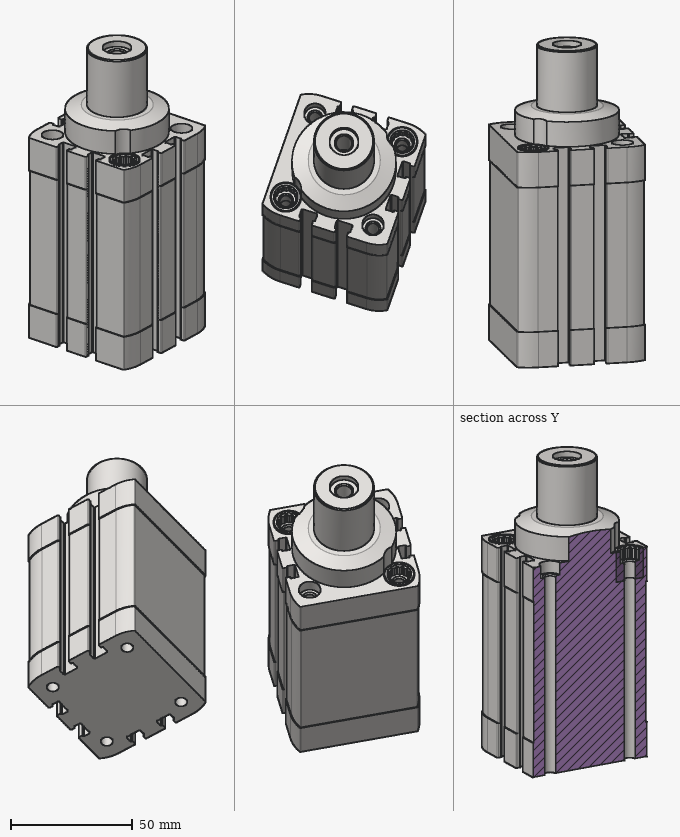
import cadquery as cq
import math

TOTAL_HEIGHT = 130.0
BARREL_HEIGHT = 91.5
END_BAND_HEIGHT = 15.1

BARREL_WIDTH = 54.5
WAIST_INSET = 0.4
CORNER_ARC_START = 18.8
CORNER_FLAT_END = 25.0
EDGE_FILLET = 0.4

TOLERANCE = 0.01

SLOT_OFFSET = 7.7
SLOT_MOUTH_WIDTH = 5.2
SLOT_WIDTH = 6.9
SLOT_DEPTH = 5.5
SLOT_LIP_DEPTH = 2.0
SLOT_CHAMFER = 0.4
SLOTTED_FACE_ANGLES = (-90, 0, 180)

COLLAR_DIAMETER = 43.0
COLLAR_FLAT_DIAMETER = 29.8
COLLAR_TOP = 104.0
COLLAR_CONE_HEIGHT = 2.0

ROD_DIAMETER = 25.0
ROD_CHAMFER = 0.5
ROD_COUNTERBORE_DIAMETER = 12.0
ROD_COUNTERBORE_DEPTH = 2.5
ROD_COUNTERSINK_DIAMETER = 7.8
ROD_HOLE_DIAMETER = 6.6
ROD_HOLE_DEPTH = 19.5
DRILL_POINT_ANGLE = 118.0

CORNER_SPACING = 38.0
BORE_DIAMETER = 5.0
BORE_COUNTERSINK_DIAMETER = 6.2
COUNTERBORE_DIAMETER = 9.0
COUNTERBORE_DEPTH = 5.2

SCREW_DIAMETER = 12.7
SCREW_CHAMFER = 0.4
SCREW_LENGTH = 13.0
SOCKET_FLATS = 8.0
SOCKET_COUNTERSINK_DIAMETER = 10.0

HALF_SPACING = CORNER_SPACING / 2
PLAIN_CORNERS = ((-HALF_SPACING, -HALF_SPACING), (HALF_SPACING, HALF_SPACING))
SCREW_CORNERS = ((-HALF_SPACING, HALF_SPACING), (HALF_SPACING, -HALF_SPACING))


def frustum(bottom_diameter, top_diameter, bottom, top):
    """Cone frustum about the Z axis between two heights; a diameter of 0 gives a point."""
    return cq.Workplane("XY").add(
        cq.Solid.makeCone(bottom_diameter / 2, top_diameter / 2, top - bottom, cq.Vector(0, 0, bottom))
    )


def countersink(wide_diameter, narrow_diameter, top):
    """45 degree countersink whose wide end lies at the given height."""
    depth = (wide_diameter - narrow_diameter) / 2
    return frustum(narrow_diameter, wide_diameter, top - depth, top)


def cylinder(diameter, bottom, top):
    return cq.Workplane("XY").workplane(offset=bottom).circle(diameter / 2).extrude(top - bottom)


def barrel_blank(inset, bottom, height):
    """Barrel section with its sides moved inward by the inset, before the slots are cut.

    Each corner arc is tangent to an X side face and meets a Y side face at a small rounded edge.
    """
    half = BARREL_WIDTH / 2
    across = half - CORNER_FLAT_END
    along = half - CORNER_ARC_START
    arc_radius = (across**2 + along**2) / (2 * across)
    centre_x = half - arc_radius
    centre_y = CORNER_ARC_START

    side = half - inset
    radius = arc_radius - inset
    end_angle = math.asin((side - centre_y) / radius)
    end_x = centre_x + radius * math.cos(end_angle)
    mid_x = centre_x + radius * math.cos(end_angle / 2)
    mid_y = centre_y + radius * math.sin(end_angle / 2)
    return (
        cq.Workplane("XY")
        .workplane(offset=bottom)
        .moveTo(side, -centre_y)
        .lineTo(side, centre_y)
        .threePointArc((mid_x, mid_y), (end_x, side))
        .lineTo(-end_x, side)
        .threePointArc((-mid_x, mid_y), (-side, centre_y))
        .lineTo(-side, -centre_y)
        .threePointArc((-mid_x, -mid_y), (-end_x, -side))
        .lineTo(end_x, -side)
        .threePointArc((mid_x, -mid_y), (side, -centre_y))
        .close()
        .extrude(height)
        .faces(">Y or <Y")
        .edges("|Z")
        .fillet(EDGE_FILLET)
    )


def sensor_slot():
    """T-slot cutter opening toward +X, with its four inner corners chamfered."""
    face = BARREL_WIDTH / 2
    floor = face - SLOT_DEPTH
    lip = face - SLOT_LIP_DEPTH
    mouth = cq.Workplane("XY").box(
        SLOT_DEPTH, SLOT_MOUTH_WIDTH, BARREL_HEIGHT, centered=(False, True, False)
    )
    channel = (
        cq.Workplane("XY")
        .box(lip - floor, SLOT_WIDTH, BARREL_HEIGHT, centered=(False, True, False))
        .edges("|Z")
        .chamfer(SLOT_CHAMFER)
    )
    return mouth.union(channel).translate((floor, 0, 0))


def is_mouth_edge(edge, face):
    """Whether a vertical edge lies on a slot mouth; face is the side faces' distance from the axis."""
    place = edge.Center()
    along, across = sorted((abs(place.x), abs(place.y)))
    return abs(across - face) < TOLERANCE and along < SLOT_OFFSET + SLOT_WIDTH / 2


def barrel_section(inset, bottom, height):
    """Slotted barrel section with rounded edges along the slot mouths."""
    section = barrel_blank(inset, bottom, height)
    slot = sensor_slot()
    for angle in SLOTTED_FACE_ANGLES:
        for offset in (-SLOT_OFFSET, SLOT_OFFSET):
            section = section.cut(slot.translate((0, offset, 0)).rotate((0, 0, 0), (0, 0, 1), angle))
    face = BARREL_WIDTH / 2 - inset
    mouth_edges = section.edges("|Z").filter(lambda edge: is_mouth_edge(edge, face))
    return mouth_edges.fillet(EDGE_FILLET)


def barrel():
    """Barrel whose waist between the two end bands is slightly narrower."""
    waist_height = BARREL_HEIGHT - 2 * END_BAND_HEIGHT
    upper_band_bottom = BARREL_HEIGHT - END_BAND_HEIGHT
    lower_band = barrel_section(0, 0, END_BAND_HEIGHT)
    waist = barrel_section(WAIST_INSET, END_BAND_HEIGHT, waist_height)
    upper_band = barrel_section(0, upper_band_bottom, END_BAND_HEIGHT)
    return lower_band.union(waist).union(upper_band)


def collar():
    shoulder = COLLAR_TOP - COLLAR_CONE_HEIGHT
    lower = cylinder(COLLAR_DIAMETER, BARREL_HEIGHT, shoulder)
    return lower.union(frustum(COLLAR_DIAMETER, COLLAR_FLAT_DIAMETER, shoulder, COLLAR_TOP))


def rod_end():
    return cylinder(ROD_DIAMETER, COLLAR_TOP, TOTAL_HEIGHT).faces(">Z").edges().chamfer(ROD_CHAMFER)


def rod_hole():
    """Cutter for the counterbored, countersunk blind hole with a drill point."""
    ledge = TOTAL_HEIGHT - ROD_COUNTERBORE_DEPTH
    hole_bottom = ledge - ROD_HOLE_DEPTH
    point_depth = ROD_HOLE_DIAMETER / 2 / math.tan(math.radians(DRILL_POINT_ANGLE / 2))
    return (
        cylinder(ROD_COUNTERBORE_DIAMETER, ledge, TOTAL_HEIGHT)
        .union(countersink(ROD_COUNTERSINK_DIAMETER, ROD_HOLE_DIAMETER, ledge))
        .union(cylinder(ROD_HOLE_DIAMETER, hole_bottom, ledge))
        .union(frustum(0, ROD_HOLE_DIAMETER, hole_bottom - point_depth, hole_bottom))
    )


def plain_corner_hole():
    """Cutter for a through bore with a counterbore."""
    ledge = BARREL_HEIGHT - COUNTERBORE_DEPTH
    return (
        cylinder(BORE_DIAMETER, 0, BARREL_HEIGHT)
        .union(countersink(BORE_COUNTERSINK_DIAMETER, BORE_DIAMETER, ledge))
        .union(cylinder(COUNTERBORE_DIAMETER, ledge, BARREL_HEIGHT))
    )


def screw_blank():
    """Screw without its socket and bore, its top flush with the barrel."""
    bottom = BARREL_HEIGHT - SCREW_LENGTH
    return cylinder(SCREW_DIAMETER, bottom, BARREL_HEIGHT).faces(">Z").edges().chamfer(SCREW_CHAMFER)


def screw_corner_hole():
    """Cutter for the screw recess, which also scallops the collar, and the bore below it."""
    recess = cylinder(SCREW_DIAMETER, BARREL_HEIGHT - SCREW_LENGTH, COLLAR_TOP)
    return recess.union(cylinder(BORE_DIAMETER, 0, BARREL_HEIGHT))


def make_housing():
    """Barrel, collar and rod as one solid with all its holes."""
    body = barrel().union(collar()).union(rod_end()).cut(rod_hole())
    for x, y in PLAIN_CORNERS:
        body = body.cut(plain_corner_hole().translate((x, y, 0)))
    for x, y in SCREW_CORNERS:
        body = body.cut(screw_corner_hole().translate((x, y, 0)))
    return body


def make_screw():
    """Hollow screw with a twelve-point socket made of two hexagons 30 degrees apart.

    The socket's points are cut off at the counterbore diameter.
    """
    socket_bottom = BARREL_HEIGHT - COUNTERBORE_DEPTH
    corner_diameter = SOCKET_FLATS / math.cos(math.radians(30))
    notch_diameter = SOCKET_FLATS / math.cos(math.radians(15))
    hexagon = (
        cq.Workplane("XY")
        .workplane(offset=socket_bottom)
        .polygon(6, corner_diameter)
        .extrude(COUNTERBORE_DEPTH)
    )
    star = hexagon.union(hexagon.rotate((0, 0, 0), (0, 0, 1), 30))
    socket = star.intersect(cylinder(COUNTERBORE_DIAMETER, socket_bottom, BARREL_HEIGHT))
    return (
        screw_blank()
        .cut(socket)
        .cut(countersink(SOCKET_COUNTERSINK_DIAMETER, notch_diameter, BARREL_HEIGHT))
        .cut(countersink(BORE_COUNTERSINK_DIAMETER, BORE_DIAMETER, socket_bottom))
        .cut(cylinder(BORE_DIAMETER, BARREL_HEIGHT - SCREW_LENGTH, socket_bottom))
    )


housing = make_housing()
screws = [make_screw().translate((x, y, 0)) for x, y in SCREW_CORNERS]
result = cq.Compound.makeCompound([housing.val(), *[screw.val() for screw in screws]])